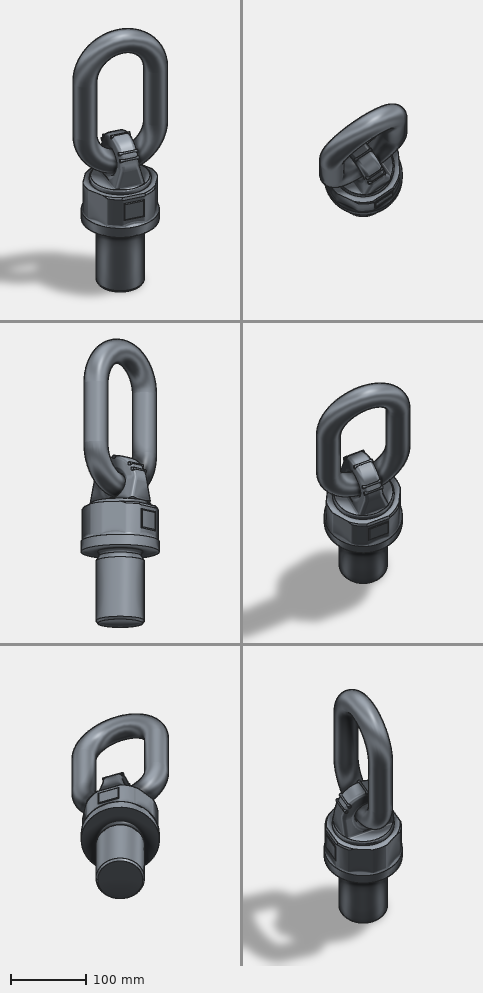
import cadquery as cq
import math

TOTAL_HEIGHT = 383.7

PICK_MARGIN = 0.5

STUD_RADIUS = 32.2
STUD_CHAMFER_WIDTH = 2.3
STUD_CHAMFER_HEIGHT = 3.5
STUD_THREAD_TOP = 84.0
NECK_RADIUS = 28.5
NECK_CONE_TOP = 89.5
NECK_CONE_RADIUS = 29.0
NECK_BOTTOM = 91.0
NECK_TOP = 92.5
NECK_ROOT_RADIUS = 30.5

FLANGE_RADIUS = 104.0 / 2
FLANGE_BOTTOM = 96.7
FLANGE_TOP = 110.5
FLANGE_RIM_RISE = 5.8
HOUSING_TOP = 155.8
HOUSING_RADIUS = 50.5
HEX_SIDES = 6
HEX_APOTHEM = 96.5 / 2
HEX_EDGE_FILLET = 7.5
FLAT_BEVEL_WIDTH = 2.0
FLAT_BEVEL_HEIGHT = 3.5
CORNER_BEVEL_WIDTH = 1.73
CORNER_BEVEL_HEIGHT = 2.5
HOUSING_ROOT_FILLET = 4.2

PLATE_WIDTH = 29.5
PLATE_HEIGHT = 26.0
PLATE_MID_HEIGHT = 134.3
PLATE_THICKNESS = 0.8
PLATE_BEVEL = 1.5

DISC_RADIUS = 82.5 / 2
DISC_TOP = 162.0
DISC_RIM_WIDTH = 2.0
DISC_RIM_HEIGHT = 2.5
BLANK_RADIUS = 53.7
EYE_RADIUS = 37.2
EYE_CENTRE_HEIGHT = 188.0
EYE_HALF_THICKNESS = 13.5
TAPER_TOP = 192.0
FOOT_TOP = 165.0
FOOT_HALF_THICKNESS = 42.0 / 2
TAPER_BLEND = 23.0
EYE_EDGE_FILLET = 5.5
FOOT_FILLET = 3.0
HOLE_RADIUS = 17.3
HOLE_CENTRE_HEIGHT = 185.0
HOLE_FLARE = 7.0
RIB_RADIUS = 2.3
RIB_DISTANCE = 35.3
RIB_ANGLES = (26, 41, 90, 139, 154)

LINK_WIDTH = 134.0
LINK_WIRE_RADIUS = 16.0
LINK_STRAIGHT = 81.0


def make_stud():
    """Plain cylinder with a chamfered tip and a waisted neck under the flange."""
    return (
        cq.Workplane("XZ")
        .moveTo(0, 0)
        .lineTo(STUD_RADIUS - STUD_CHAMFER_WIDTH, 0)
        .lineTo(STUD_RADIUS, STUD_CHAMFER_HEIGHT)
        .lineTo(STUD_RADIUS, STUD_THREAD_TOP)
        .lineTo(NECK_CONE_RADIUS, NECK_CONE_TOP)
        .lineTo(NECK_RADIUS, NECK_BOTTOM)
        .lineTo(NECK_RADIUS, NECK_TOP)
        .tangentArcPoint((NECK_ROOT_RADIUS, FLANGE_BOTTOM), relative=False)
        .lineTo(0, FLANGE_BOTTOM)
        .close()
        .revolve(360, (0, 0, 0), (0, 1, 0))
    )


def make_flange():
    """Round flange whose rim slopes up at 45 degrees towards the hexagon flats."""
    flange = cq.Workplane("XY").workplane(offset=FLANGE_BOTTOM).circle(FLANGE_RADIUS)
    flange = flange.extrude(FLANGE_TOP - FLANGE_BOTTOM + FLANGE_RIM_RISE)
    return flange.faces(">Z").edges().chamfer(FLANGE_RIM_RISE)


def flat_bevel_limits():
    """Block that bevels the top of the two flats facing along X."""
    bevel_bottom = HOUSING_TOP - FLAT_BEVEL_HEIGHT
    bevel_inside = HEX_APOTHEM - FLAT_BEVEL_WIDTH
    return (
        cq.Workplane("XZ")
        .moveTo(-HEX_APOTHEM, FLANGE_BOTTOM)
        .lineTo(HEX_APOTHEM, FLANGE_BOTTOM)
        .lineTo(HEX_APOTHEM, bevel_bottom)
        .lineTo(bevel_inside, HOUSING_TOP)
        .lineTo(-bevel_inside, HOUSING_TOP)
        .lineTo(-HEX_APOTHEM, bevel_bottom)
        .close()
        .extrude(FLANGE_RADIUS, both=True)
    )


def corner_bevel_cutter():
    """Conical ring that bevels the four corners beside the X flats and spares the two on the Y axis."""
    bevel_inside = HOUSING_RADIUS - CORNER_BEVEL_WIDTH
    slope = CORNER_BEVEL_HEIGHT / CORNER_BEVEL_WIDTH
    ring = (
        cq.Workplane("XZ")
        .moveTo(bevel_inside, HOUSING_TOP)
        .lineTo(FLANGE_RADIUS, HOUSING_TOP)
        .lineTo(FLANGE_RADIUS, HOUSING_TOP - slope * (FLANGE_RADIUS - bevel_inside))
        .close()
        .revolve(360, (0, 0, 0), (0, 1, 0))
    )
    middle_of_slanted_flat = HEX_APOTHEM * math.cos(math.pi / HEX_SIDES)
    band = cq.Workplane("XY").box(2 * FLANGE_RADIUS, 2 * middle_of_slanted_flat, 2 * HOUSING_TOP)
    return ring.intersect(band)


def make_housing():
    """Cylinder with six flats, softened where the flats meet the round and bevelled on top."""
    height = HOUSING_TOP - FLANGE_BOTTOM
    floor = cq.Workplane("XY").workplane(offset=FLANGE_BOTTOM)
    hexagon = floor.polygon(HEX_SIDES, 2 * HEX_APOTHEM, circumscribed=True).extrude(height)
    housing = floor.circle(HOUSING_RADIUS).extrude(height).intersect(hexagon)
    housing = housing.edges("|Z").fillet(HEX_EDGE_FILLET)
    return housing.intersect(flat_bevel_limits()).cut(corner_bevel_cutter())


def make_plate(side):
    """Thin bevelled plate on the flat that faces along side * X."""
    bevel_angle = math.degrees(math.atan2(PLATE_BEVEL, PLATE_THICKNESS))
    return (
        cq.Workplane("YZ", origin=(side * HEX_APOTHEM, 0, PLATE_MID_HEIGHT))
        .rect(PLATE_WIDTH, PLATE_HEIGHT)
        .extrude(side * PLATE_THICKNESS, taper=bevel_angle)
    )


def make_base():
    """Stud, flange and hexagonal housing in one piece."""
    base = make_flange().union(make_housing())
    root = cq.selectors.BoxSelector(
        (-FLANGE_RADIUS, -FLANGE_RADIUS, FLANGE_TOP + PICK_MARGIN),
        (FLANGE_RADIUS, FLANGE_RADIUS, FLANGE_TOP + FLANGE_RIM_RISE - PICK_MARGIN),
        boundingbox=True,
    )
    base = base.edges(root).fillet(HOUSING_ROOT_FILLET)
    base = base.union(make_stud())
    for side in (-1, 1):
        base = base.union(make_plate(side))
    return base


def make_foot(plate):
    """Round disc under the eye plate, blended into the plate all round and cut off at FOOT_TOP."""
    blank = cq.Workplane("XY").workplane(offset=HOUSING_TOP).circle(BLANK_RADIUS)
    blank = blank.extrude(DISC_TOP - HOUSING_TOP)
    junction = cq.selectors.BoxSelector(
        (-DISC_RADIUS, -DISC_RADIUS, DISC_TOP - PICK_MARGIN),
        (DISC_RADIUS, DISC_RADIUS, DISC_TOP + PICK_MARGIN),
        boundingbox=True,
    )
    blended = blank.union(plate).edges(junction).fillet(FOOT_FILLET)
    rim_top_radius = DISC_RADIUS - DISC_RIM_WIDTH
    rim_bottom = DISC_TOP - DISC_RIM_HEIGHT
    limits = (
        cq.Workplane("XZ")
        .moveTo(0, HOUSING_TOP)
        .lineTo(DISC_RADIUS, HOUSING_TOP)
        .lineTo(DISC_RADIUS, rim_bottom)
        .tangentArcPoint((rim_top_radius, DISC_TOP), relative=False)
        .lineTo(DISC_RADIUS, FOOT_TOP)
        .lineTo(0, FOOT_TOP)
        .close()
        .revolve(360, (0, 0, 0), (0, 1, 0))
    )
    return blended.intersect(limits)


def make_eye_plate():
    """Round-topped plate that widens in Y below the eye, with its outline rounded over."""
    outline = (
        cq.Workplane("XZ")
        .moveTo(-EYE_RADIUS, HOUSING_TOP)
        .lineTo(EYE_RADIUS, HOUSING_TOP)
        .lineTo(EYE_RADIUS, EYE_CENTRE_HEIGHT)
        .threePointArc((0, EYE_CENTRE_HEIGHT + EYE_RADIUS), (-EYE_RADIUS, EYE_CENTRE_HEIGHT))
        .close()
        .extrude(DISC_RADIUS, both=True)
    )
    slope = (FOOT_HALF_THICKNESS - EYE_HALF_THICKNESS) / (TAPER_TOP - FOOT_TOP)
    bottom_half_thickness = EYE_HALF_THICKNESS + slope * (TAPER_TOP - HOUSING_TOP)
    top = EYE_CENTRE_HEIGHT + EYE_RADIUS
    section = (
        cq.Workplane("YZ")
        .polyline(
            [
                (-bottom_half_thickness, HOUSING_TOP),
                (bottom_half_thickness, HOUSING_TOP),
                (EYE_HALF_THICKNESS, TAPER_TOP),
                (EYE_HALF_THICKNESS, top),
                (-EYE_HALF_THICKNESS, top),
                (-EYE_HALF_THICKNESS, TAPER_TOP),
            ]
        )
        .close()
        .extrude(DISC_RADIUS, both=True)
    )
    bends = cq.selectors.BoxSelector(
        (-DISC_RADIUS, -DISC_RADIUS, TAPER_TOP - PICK_MARGIN),
        (DISC_RADIUS, DISC_RADIUS, TAPER_TOP + PICK_MARGIN),
    )
    section = section.edges("|X").edges(bends).fillet(TAPER_BLEND)
    return outline.intersect(section).edges("not(|X or |Y)").fillet(EYE_EDGE_FILLET)


def make_eye():
    """Swivel eye: disc, tapered plate with a flared hole, and short ribs across its rim."""
    plate = make_eye_plate()
    hole = (
        cq.Workplane("XZ", origin=(0, 0, HOLE_CENTRE_HEIGHT))
        .circle(HOLE_RADIUS)
        .extrude(DISC_RADIUS, both=True)
    )
    eye = plate.cut(hole)
    reach = HOLE_RADIUS + PICK_MARGIN
    rim = cq.selectors.BoxSelector(
        (-reach, -DISC_RADIUS, HOLE_CENTRE_HEIGHT - reach),
        (reach, DISC_RADIUS, HOLE_CENTRE_HEIGHT + reach),
        boundingbox=True,
    )
    eye = eye.edges(rim).edges("not(|Y)").fillet(HOLE_FLARE)
    below_foot = cq.Workplane("XY").workplane(offset=FOOT_TOP)
    below_foot = below_foot.circle(BLANK_RADIUS).extrude(HOUSING_TOP - FOOT_TOP)
    eye = eye.cut(below_foot).union(make_foot(plate))
    for angle in RIB_ANGLES:
        x = RIB_DISTANCE * math.cos(math.radians(angle))
        z = EYE_CENTRE_HEIGHT + RIB_DISTANCE * math.sin(math.radians(angle))
        rib = cq.Workplane("XZ", origin=(x, 0, z)).circle(RIB_RADIUS)
        eye = eye.union(rib.extrude(EYE_HALF_THICKNESS, both=True))
    return eye


def make_link():
    """Oblong link of round wire lying in the YZ plane."""
    bend_radius = LINK_WIDTH / 2 - LINK_WIRE_RADIUS
    upper = TOTAL_HEIGHT - LINK_WIDTH / 2
    lower = upper - LINK_STRAIGHT
    path = (
        cq.Workplane("YZ")
        .moveTo(bend_radius, lower)
        .lineTo(bend_radius, upper)
        .threePointArc((0, upper + bend_radius), (-bend_radius, upper))
        .lineTo(-bend_radius, lower)
        .threePointArc((0, lower - bend_radius), (bend_radius, lower))
        .close()
    )
    return cq.Workplane("XY", origin=(0, bend_radius, lower)).circle(LINK_WIRE_RADIUS).sweep(path)


base = make_base()
eye = make_eye()
link = make_link()

result = cq.Compound.makeCompound([base.solids().val(), eye.solids().val(), link.val()])